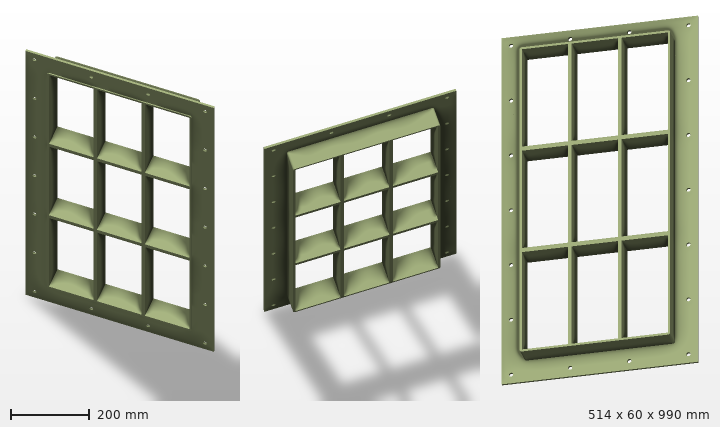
import cadquery as cq

flange_width = 514.0
flange_height = 990.0
flange_thickness = 6.0

frame_width = 394.0
frame_height = 870.0
frame_depth = 60.0
frame_wall = 6.0
frame_corner_radius = 6.0
frame_lip = 3.0

columns = 3
rows = 3
upright_thickness = 10.0
crossbar_thickness = 12.0

hole_diameter = 11.0
hole_inset = 25.0
holes_across = 4
holes_up = 7

inner_width = frame_width - 2 * frame_wall
inner_height = frame_height - 2 * frame_wall
opening_width = (inner_width - (columns - 1) * upright_thickness) / columns
opening_height = (inner_height - (rows - 1) * crossbar_thickness) / rows


def upright_block(width, depth, height, front):
    """Block centred in X and Z, running in +Y from the given front face."""
    return cq.Workplane("XY").box(width, depth, height).translate((0, front + depth / 2, 0))


def bolt_positions():
    """Evenly spaced hole centres along the four edges of the flange."""
    step_x = (flange_width - 2 * hole_inset) / (holes_across - 1)
    step_z = (flange_height - 2 * hole_inset) / (holes_up - 1)
    positions = []
    for column in range(holes_across):
        for row in range(holes_up):
            if column in (0, holes_across - 1) or row in (0, holes_up - 1):
                x = hole_inset + column * step_x - flange_width / 2
                z = hole_inset + row * step_z - flange_height / 2
                positions.append((x, z))
    return positions


def make_flange():
    plate = upright_block(flange_width, flange_thickness, flange_height, frame_lip)
    holes = (
        cq.Workplane("XZ")
        .pushPoints(bolt_positions())
        .circle(hole_diameter / 2)
        .extrude(-frame_depth)
    )
    return plate.cut(holes)


def make_frame():
    block = upright_block(frame_width, frame_depth, frame_height, 0)
    return block.edges("|Y").fillet(frame_corner_radius)


def make_openings():
    """Through openings that leave the frame walls, uprights and crossbars."""
    return (
        cq.Workplane("XZ")
        .rarray(opening_width + upright_thickness, opening_height + crossbar_thickness, columns, rows)
        .rect(opening_width, opening_height)
        .extrude(-frame_depth)
    )


result = make_flange().union(make_frame()).cut(make_openings())